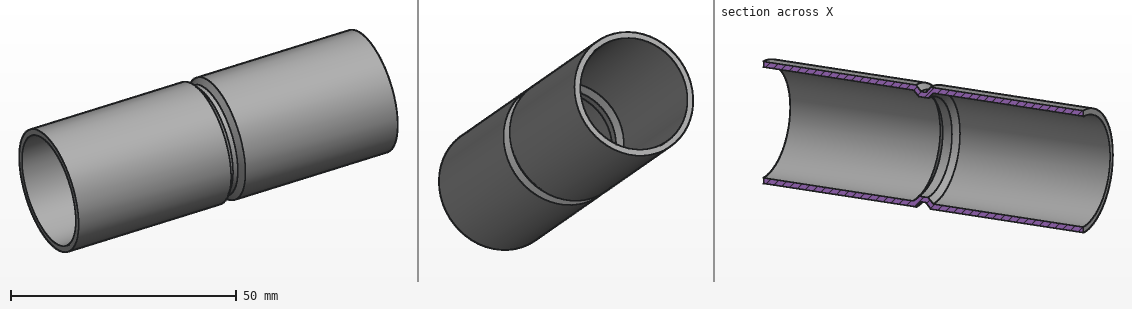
import cadquery as cq

length = 80.0
outer_diameter = 28.5
bore_diameter = 25.7

groove_diameter = 25.8
groove_width = 3.6
groove_floor_width = 1.2
ridge_diameter = 23.0
ridge_crest_width = 2.3
ridge_slope_run = (bore_diameter - ridge_diameter) / 2
ridge_width = ridge_crest_width + 2 * ridge_slope_run


def wall_side(edge_diameter, middle_diameter, edge_width, middle_width):
    """Radius and Y points of one wall surface, from the -Y end to the +Y end."""
    edge_radius = edge_diameter / 2
    middle_radius = middle_diameter / 2
    return [
        (edge_radius, -length / 2),
        (edge_radius, -edge_width / 2),
        (middle_radius, -middle_width / 2),
        (middle_radius, middle_width / 2),
        (edge_radius, edge_width / 2),
        (edge_radius, length / 2),
    ]


outer_side = wall_side(outer_diameter, groove_diameter, groove_width, groove_floor_width)
inner_side = wall_side(bore_diameter, ridge_diameter, ridge_width, ridge_crest_width)

wall_section = cq.Workplane("XY").polyline(outer_side + inner_side[::-1]).close()
result = wall_section.revolve(360, (0, 0, 0), (0, 1, 0))